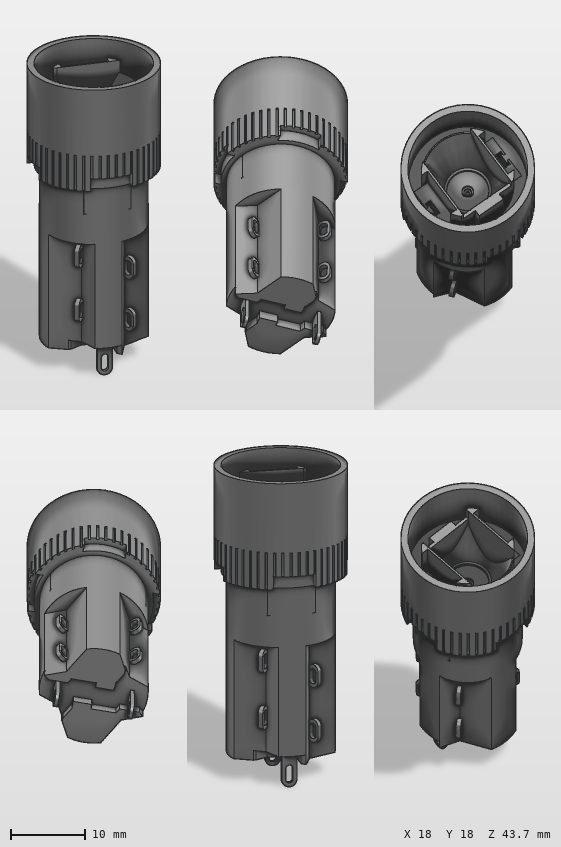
import cadquery as cq
import math

total_height = 43.7
seat_z = 36.58
groove_top_z = 33.9
notch_top_z = 30.6
bezel_bottom_z = 28.75
holder_bottom_z = 24.6
barrel_bottom_z = 20.2
channel_roof_z = 4.85
base_z = 3.5

bezel_radius = 18.0 / 2
cup_radius = 16.1 / 2
barrel_radius = 14.7 / 2
groove_count = 50
groove_width = 0.3
groove_depth = 0.25
notch_half_width = 2.9

arm_x_half_width = 1.92
arm_y_half_width = 2.27
inner_corner = (4.33, 3.0)

channel_half_width = 1.35
flare = arm_x_half_width - channel_half_width
splay_y = 2.05
neck_inner_x = 3.45
neck_outer_x = 3.8
pocket_back_x = 2.55
pocket_bend_y = (2.45, 4.2)
pocket_outer_y = 4.55

lug_x = 5.1
lug_thickness = 0.52
lug_width = 2.1
lug_hole_width = 1.0
lug_hole_bottom_z = 0.55
lug_hole_top_z = 3.05

terminal_width = 1.85
terminal_height = 3.25
terminal_thickness = 0.65
terminal_hole_width = 1.1
terminal_hole_height = 2.15
terminal_offset = 0.85
terminal_slope = 37.3
low_terminals_z = (7.6, 15.3)
high_terminals_z = (9.88, 17.85)

holder_radius = 6.25
rim_z = 40.05
rim_width = 0.17
cheek_top_z = 41.78
cheek_inner_x = 3.98
cheek_foot_x = 3.75
bowl_floor_z = 33.55
bowl_floor_radius = 3.2
well_radius = 2.85
well_depth = 0.45
socket_radii = (0.8, 0.52, 0.25)
socket_step = 0.45
bar_inner_y = -4.0
bar_outer_y = -4.5
tongue_half_width = 2.0
tongue_end_y = -5.4

tab_inner_x = 4.3
tab_outer_x = 6.55
tab_half_width = 3.3
lip_x = 6.3
slot_end_x = 5.4
slot_half_width = 1.1
neck_half_width = 0.45
key_head_half_width = 0.65
key_end_x = 6.0


def cylinder(radius, bottom, top):
    return cq.Workplane("XY").workplane(offset=bottom).circle(radius).extrude(top - bottom)


def block(x_range, y_range, z_range):
    """Axis-aligned block between two limits on each axis."""
    size = [high - low for low, high in (x_range, y_range, z_range)]
    corner = (x_range[0], y_range[0], z_range[0])
    return cq.Workplane(cq.Solid.makeBox(*size, cq.Vector(*corner)))


def half_turn(shape):
    return shape.rotate((0, 0, 0), (0, 0, 1), 180)


def both_ends(shape):
    """The shape together with its half-turn copy about the axis."""
    return shape.union(half_turn(shape))


def make_bezel():
    bezel = cylinder(bezel_radius, bezel_bottom_z, total_height)
    bezel = bezel.cut(cylinder(cup_radius, seat_z, total_height))
    groove = block(
        (-groove_width / 2, groove_width / 2),
        (-bezel_radius - 0.45, -bezel_radius + groove_depth),
        (bezel_bottom_z, groove_top_z),
    )
    for index in range(groove_count):
        bezel = bezel.cut(groove.rotate((0, 0, 0), (0, 0, 1), index * 360 / groove_count))
    notch = block(
        (-bezel_radius, bezel_radius),
        (-notch_half_width, notch_half_width),
        (bezel_bottom_z, notch_top_z),
    )
    notches = notch.union(notch.rotate((0, 0, 0), (0, 0, 1), 90))
    notches = notches.cut(cylinder(cup_radius, bezel_bottom_z, notch_top_z))
    return bezel.cut(notches)


def make_terminal_block():
    """Round column with a V cut between each pair of neighbouring arms."""
    column = cylinder(barrel_radius, base_z, barrel_bottom_z)
    arm_x_end = math.sqrt(barrel_radius**2 - arm_x_half_width**2)
    arm_y_end = math.sqrt(barrel_radius**2 - arm_y_half_width**2)
    for side_x in (-1, 1):
        for side_y in (-1, 1):
            outline = [
                inner_corner,
                (arm_x_end, arm_x_half_width),
                (arm_x_end + barrel_radius, arm_x_half_width),
                (arm_x_end + barrel_radius, arm_y_end + barrel_radius),
                (arm_y_half_width, arm_y_end + barrel_radius),
                (arm_y_half_width, arm_y_end),
            ]
            points = [(side_x * x, side_y * y) for x, y in outline]
            v_cut = cq.Workplane("XY").workplane(offset=base_z).polyline(points).close()
            column = column.cut(v_cut.extrude(barrel_bottom_z - base_z))
    return column


def make_underside_cut():
    """Channel along X, flared on one side of each mouth and opened to a pocket on the other."""
    mouth_x = math.sqrt(barrel_radius**2 - arm_x_half_width**2)
    half_outline = [
        (0, channel_half_width),
        (-pocket_back_x, channel_half_width),
        (-pocket_back_x, pocket_bend_y[0]),
        (-neck_inner_x, pocket_bend_y[1]),
        (-neck_inner_x, pocket_outer_y),
        (-barrel_radius, pocket_outer_y),
        (-barrel_radius, -arm_x_half_width),
        (-mouth_x, -arm_x_half_width),
        (-mouth_x + flare, -channel_half_width),
        (-neck_outer_x, -channel_half_width),
        (-neck_inner_x, -splay_y),
        (0, -splay_y),
    ]
    cut = cq.Workplane("XY").workplane(offset=base_z).polyline(half_outline).close()
    return both_ends(cut.extrude(channel_roof_z - base_z))


def make_lug():
    hole_height = lug_hole_top_z - lug_hole_bottom_z
    hole_middle_z = (lug_hole_top_z + lug_hole_bottom_z) / 2
    blade = (
        cq.Workplane("YZ", origin=(lug_x - lug_thickness / 2, 0, 0))
        .moveTo(-lug_width / 2, channel_roof_z)
        .lineTo(-lug_width / 2, lug_width / 2)
        .threePointArc((0, 0), (lug_width / 2, lug_width / 2))
        .lineTo(lug_width / 2, channel_roof_z)
        .close()
        .extrude(lug_thickness)
    )
    hole = (
        cq.Workplane("YZ", origin=(0, 0, hole_middle_z))
        .slot2D(hole_height, lug_hole_width, 90)
        .extrude(barrel_radius)
    )
    return blade.cut(hole)


def make_terminal(side_y, middle_z):
    """Ring in the +X inner corner on the given Y side, pointing outward."""
    ring = (
        cq.Workplane("XZ", origin=(terminal_offset, terminal_thickness / 2, 0))
        .slot2D(terminal_height, terminal_width, 90)
        .slot2D(terminal_hole_height, terminal_hole_width, 90)
        .extrude(terminal_thickness)
    )
    ring = ring.rotate((0, 0, 0), (0, 0, 1), side_y * terminal_slope)
    return ring.translate((inner_corner[0], side_y * inner_corner[1], middle_z))


def make_tab():
    """Tab on the +X side with a T slot that opens outward."""
    heights = (holder_bottom_z, seat_z)
    tab = block((tab_inner_x, tab_outer_x), (-tab_half_width, tab_half_width), heights)
    slot = block((slot_end_x, lip_x), (-slot_half_width, slot_half_width), heights)
    mouth = block((lip_x, tab_outer_x), (-neck_half_width, neck_half_width), heights)
    return tab.cut(slot).cut(mouth)


def make_key():
    """T-shaped key of the housing that stands in the +X tab slot."""
    heights = (holder_bottom_z, seat_z)
    neck = block((lip_x, tab_outer_x), (-neck_half_width, neck_half_width), heights)
    head = block((key_end_x, lip_x), (-key_head_half_width, key_head_half_width), heights)
    return neck.union(head)


def make_housing():
    housing = cylinder(barrel_radius, barrel_bottom_z, bezel_bottom_z)
    housing = housing.union(make_bezel()).union(make_terminal_block())
    housing = housing.cut(make_underside_cut())

    bore = cylinder(holder_radius, holder_bottom_z, seat_z)
    tab_pocket = block(
        (-tab_outer_x, tab_outer_x),
        (-tab_half_width, tab_half_width),
        (holder_bottom_z, seat_z),
    )
    housing = housing.cut(bore).cut(tab_pocket).union(both_ends(make_key()))

    housing = housing.union(both_ends(make_lug()))
    for side_y, heights in ((1, low_terminals_z), (-1, high_terminals_z)):
        for middle_z in heights:
            housing = housing.union(both_ends(make_terminal(side_y, middle_z)))
    return housing


def make_reflector_cavity():
    """Conical bowl between two drafted cheek walls, flat towards -Y."""
    rim_radius = holder_radius - rim_width
    bowl = (
        cq.Workplane("XZ")
        .moveTo(0, bowl_floor_z)
        .lineTo(bowl_floor_radius, bowl_floor_z)
        .lineTo(rim_radius, rim_z)
        .lineTo(holder_radius, rim_z)
        .lineTo(holder_radius, cheek_top_z)
        .lineTo(0, cheek_top_z)
        .close()
        .revolve(360, (0, 0, 0), (0, 1, 0))
    )
    walls = (
        cq.Workplane("XZ", origin=(0, holder_radius, 0))
        .polyline([
            (-cheek_foot_x, bowl_floor_z),
            (cheek_foot_x, bowl_floor_z),
            (cheek_inner_x, cheek_top_z),
            (-cheek_inner_x, cheek_top_z),
        ])
        .close()
        .extrude(holder_radius - bar_inner_y)
    )
    return bowl.intersect(walls)


def make_lamp_socket():
    """Round well in the bowl floor with a small stepped hole at its centre."""
    floor_z = bowl_floor_z - well_depth
    socket = cylinder(well_radius, floor_z, bowl_floor_z)
    for step, radius in enumerate(socket_radii, start=1):
        socket = socket.union(cylinder(radius, floor_z - step * socket_step, floor_z))
    return socket


def make_holder():
    heights = (holder_bottom_z, cheek_top_z)
    holder = cylinder(holder_radius, *heights)

    segment = block((-holder_radius, holder_radius), (-holder_radius, bar_outer_y), heights)
    tongue = block((-tongue_half_width, tongue_half_width), (tongue_end_y, bar_outer_y), heights)
    holder = holder.cut(segment.cut(tongue))

    front_opening = block(
        (-cheek_inner_x, cheek_inner_x), (-holder_radius, bar_inner_y), (rim_z, cheek_top_z)
    )
    holder = holder.cut(front_opening)
    holder = holder.cut(make_reflector_cavity()).cut(make_lamp_socket())

    tab_space = block((tab_inner_x, tab_outer_x), (-tab_half_width, tab_half_width), heights)
    return holder.cut(both_ends(tab_space)).union(both_ends(make_tab()))


housing = make_housing()
holder = make_holder()

result = cq.Compound.makeCompound([housing.val(), holder.val()])